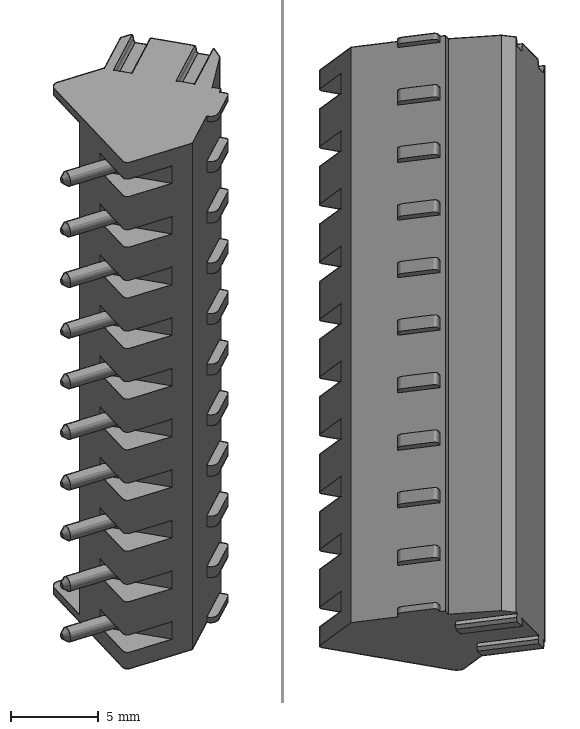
import cadquery as cq
import math

cell_count = 10
overall_height = 35.5
body_height = 35.0
pitch = body_height / cell_count
rib_height = overall_height - body_height

back_left_x = 2.27
back_left_chamfer = 0.45
back_right_x = 7.7
taper_top = (8.25, -0.67)
taper_bottom_x = 8.7
shoulder_y = -3.73
side_x = 9.23
side_end_y = -9.4
tip_y = -6.1
tip_radius = 0.5
nose_radius = 0.3
flange_thickness = 0.5

slot_floor_y = -10.33
slot_height = 1.2
pin_diameter = 0.9
pin_radius = pin_diameter / 2
pin_end = (2.7, -12.45)
pin_tip_length = 0.337
pin_tip_radius = 0.16
pin_root_length = 4.25

bump_width = 0.75
bump_x = 9.8
bump_back_y = -4.05
bump_front_y = -6.55
bump_back_radius = 0.2
bump_front_radius = 0.5

track_centers_x = (3.37, 7.1)
track_length = 3.7
rib_wide = 1.05
rib_narrow = 0.78
rib_wide_depth = 0.3
groove_mouth = 1.1
groove_floor = 0.75


def housing():
    """Extrude the flanged profile, then cut the left side back between the flanges."""
    sharp_tip_x = tip_radius * (1 - math.sqrt(2))
    back_slope_y = tip_y + back_left_x - sharp_tip_x
    left_sum = sharp_tip_x + tip_y
    right_difference = side_x - side_end_y
    nose = ((left_sum + right_difference) / 2, (left_sum - right_difference) / 2)
    block = (
        cq.Workplane("XY")
        .moveTo(back_left_x + back_left_chamfer, 0)
        .lineTo(back_right_x, 0)
        .lineTo(*taper_top)
        .lineTo(taper_bottom_x, shoulder_y)
        .lineTo(side_x, shoulder_y)
        .lineTo(side_x, side_end_y)
        .lineTo(*nose)
        .lineTo(sharp_tip_x, tip_y)
        .lineTo(back_left_x, back_slope_y)
        .lineTo(back_left_x, -back_left_chamfer)
        .close()
        .extrude(body_height)
    )
    block = block.edges(cq.NearestToPointSelector((*nose, body_height / 2))).fillet(nose_radius)
    block = block.edges(cq.NearestToPointSelector((sharp_tip_x, tip_y, body_height / 2))).fillet(tip_radius)
    recess_depth = -slot_floor_y
    recess = cq.Workplane("XY").box(
        2 * back_left_x, recess_depth, body_height - 2 * flange_thickness, centered=(True, False, False)
    )
    return block.cut(recess.translate((0, -recess_depth, flange_thickness)))


def slot(z):
    """Slot through the nose, leaving a flat floor facing the front."""
    return (
        cq.Workplane("XY")
        .box(side_x, -slot_floor_y, slot_height, centered=(False, False, True))
        .translate((0, 2 * slot_floor_y, z))
    )


def pin(z):
    """Round pin at 45 degrees with a conical tip, rooted inside the housing."""
    axis_plane = cq.Plane(origin=(*pin_end, z), xDir=(1, -1, 0), normal=(1, 1, 0))
    shaft = cq.Workplane(axis_plane).circle(pin_radius).extrude(pin_root_length)
    cone = cq.Solid.makeCone(
        pin_radius, pin_tip_radius, pin_tip_length, pnt=cq.Vector(*pin_end, z), dir=cq.Vector(-1, -1, 0)
    )
    return shaft.union(cq.Workplane(cone))


def bump(z):
    """Side bump with rounded outer corners, trimmed to the height of the housing."""
    z_low = max(z - bump_width / 2, 0)
    z_high = min(z + bump_width / 2, body_height)
    block = (
        cq.Workplane("XY", origin=(taper_bottom_x, bump_front_y, z_low))
        .box(bump_x - taper_bottom_x, bump_back_y - bump_front_y, z_high - z_low, centered=False)
    )
    block = block.edges("|Z and >X and >Y").fillet(bump_back_radius)
    return block.edges("|Z and >X and <Y").fillet(bump_front_radius)


def rib(x):
    """Rib under the housing, flaring from its root to a widest line and tapering again below it."""
    half_wide = rib_wide / 2
    half_narrow = rib_narrow / 2
    return (
        cq.Workplane("XZ", origin=(x, 0, 0))
        .polyline([
            (-half_narrow, 0), (half_narrow, 0), (half_wide, -rib_wide_depth),
            (half_narrow, -rib_height), (-half_narrow, -rib_height), (-half_wide, -rib_wide_depth),
        ])
        .close()
        .extrude(track_length)
    )


def groove(x):
    """Cutter for a groove in the top face; each flank is a rounded lip running into a hollow floor corner."""
    half_mouth = groove_mouth / 2
    half_floor = groove_floor / 2
    half_middle = (half_mouth + half_floor) / 2
    arc_width = half_mouth - half_middle
    arc_height = rib_height / 2
    arc_radius = (arc_width**2 + arc_height**2) / (2 * arc_width)
    return (
        cq.Workplane("XZ", origin=(x, 0, body_height))
        .moveTo(-half_mouth, 0)
        .lineTo(half_mouth, 0)
        .radiusArc((half_middle, -arc_height), -arc_radius)
        .radiusArc((half_floor, -rib_height), arc_radius)
        .lineTo(-half_floor, -rib_height)
        .radiusArc((-half_middle, -arc_height), arc_radius)
        .radiusArc((-half_mouth, 0), -arc_radius)
        .close()
        .extrude(track_length)
    )


result = housing()

for cell in range(cell_count):
    cell_z = (cell + 0.5) * pitch
    result = result.cut(slot(cell_z)).union(pin(cell_z))

for boundary in range(cell_count + 1):
    result = result.union(bump(boundary * pitch))

for center_x in track_centers_x:
    result = result.union(rib(center_x)).cut(groove(center_x))